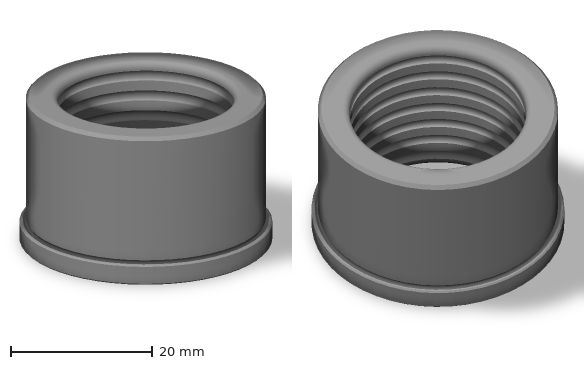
import cadquery as cq

height = 22.0
flange_radius = 17.9
flange_thickness = 3.0
body_radius = 17.0
bore_radius = 12.5

flange_chamfer = 0.2
body_top_chamfer = 0.5
bore_rounding = 1.0

relief_step = 0.2

groove_count = 7
groove_pitch = 3.0
groove_radius = 0.75


def make_shell():
    """Flanged bush with a through bore and rounded bore mouths."""
    flange = (
        cq.Workplane("XY")
        .circle(flange_radius)
        .extrude(flange_thickness)
        .edges()
        .chamfer(flange_chamfer)
    )
    body = (
        cq.Workplane("XY")
        .circle(body_radius)
        .extrude(height)
        .faces(">Z")
        .edges()
        .chamfer(body_top_chamfer)
    )
    bored = flange.union(body).cut(cq.Workplane("XY").circle(bore_radius).extrude(height))
    bore_mouths = bored.edges(cq.selectors.RadiusNthSelector(0))
    return bore_mouths.fillet(bore_rounding)


def make_relief():
    """Ring-shaped slot cut at 45 degrees into the corner, with a round bottom."""
    reach = 2 * relief_step
    return (
        cq.Workplane("XZ")
        .moveTo(body_radius, flange_thickness + reach)
        .lineTo(body_radius - relief_step, flange_thickness + relief_step)
        .threePointArc(
            (body_radius - relief_step, flange_thickness - relief_step),
            (body_radius + relief_step, flange_thickness - relief_step),
        )
        .lineTo(body_radius + reach, flange_thickness)
        .close()
        .revolve(360, (0, 0, 0), (0, 1, 0))
    )


def make_groove(center_height):
    """Ring of round section, half sunk into the bore wall."""
    center = cq.Vector(0, 0, center_height)
    return cq.Solid.makeTorus(bore_radius, groove_radius, center, cq.Vector(0, 0, 1))


result = make_shell().cut(make_relief())
for index in range(groove_count):
    offset = (index - (groove_count - 1) / 2) * groove_pitch
    result = result.cut(make_groove(height / 2 + offset))